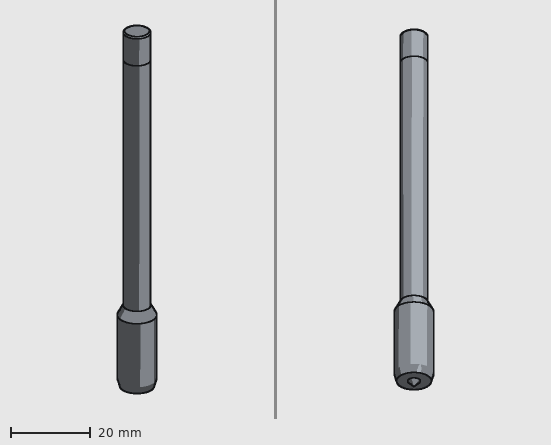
import cadquery as cq

total_length = 101.7
head_diameter = 10.0
shank_diameter = 7.0

tip_height = 1.6
tip_diameter = 2 * tip_height

nose_height = 2.1
nose_inset = 0.6
head_length = 17.9
shoulder_height = 2.7
end_cap_length = 8.0
end_chamfer = 0.4

tip_bottom = -total_length / 2
holder_bottom = tip_bottom + tip_height
cap_top = total_length / 2
head_bottom = holder_bottom + nose_height
head_top = head_bottom + head_length
shank_bottom = head_top + shoulder_height
end_cap_bottom = cap_top - end_cap_length

head_radius = head_diameter / 2
shank_radius = shank_diameter / 2


def revolve_profile(points):
    """Revolve a closed outline of (radius, height) points about the Z axis."""
    return cq.Workplane("XZ").polyline(points).close().revolve(360, (0, 0), (0, 1))


def make_holder():
    """Holder turned in one piece with its point: cone, tapered nose, head, shoulder and shank."""
    return revolve_profile([
        (0, tip_bottom),
        (tip_diameter / 2, holder_bottom),
        (head_radius - nose_inset, holder_bottom),
        (head_radius, head_bottom),
        (head_radius, head_top),
        (shank_radius, shank_bottom),
        (shank_radius, end_cap_bottom),
        (0, end_cap_bottom),
    ])


def make_end_cap():
    """Chamfered end cap seated on the shank and flush with it."""
    return revolve_profile([
        (0, end_cap_bottom),
        (shank_radius, end_cap_bottom),
        (shank_radius, cap_top - end_chamfer),
        (shank_radius - end_chamfer, cap_top),
        (0, cap_top),
    ])


holder = make_holder()
end_cap = make_end_cap()

result = cq.Compound.makeCompound([holder.val(), end_cap.val()])